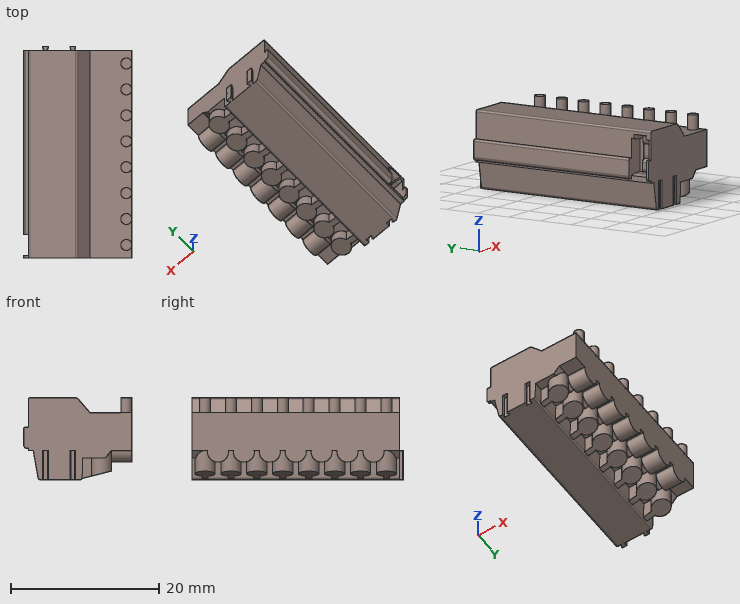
import cadquery as cq

DEPTH = 14.6
BODY_LENGTH = 28.05
TOTAL_LENGTH = 28.58
HEIGHT = 11.1

FACE_X = 0.63
RAIL_TOP = 7.12
RAIL_BOTTOM = 4.23
RAIL_TOP_RADIUS = 0.25
RAIL_BOTTOM_RADIUS = 0.45
SHOULDER_Z = 3.95
SHOULDER_X = 1.3
FOOT_FRONT_X = 1.97
FOOT_BACK_X = 7.9
FOOT_BACK_TOP_X = 7.97
BELLY_Z = 2.92
BELLY_END_X = 11.0
BELLY_SLOPE_END_X = 11.85
SHELF_Z = 9.05
ROOF_END_X = 7.2
SHELF_START_X = 8.97
EDGE_RADIUS = 0.25
FOOT_FRONT_RADIUS = 0.35
ROOF_RADIUS = 0.5

POLES = 8
POLE_SPAN = 24.5
PITCH = POLE_SPAN / (POLES - 1)
FIRST_POLE_Y = (BODY_LENGTH - POLE_SPAN) / 2
PIN_RADIUS = 0.75
PIN_X = DEPTH - PIN_RADIUS
POST_RADIUS = 1.37
POST_X = BELLY_SLOPE_END_X - POST_RADIUS
POST_NECK_WIDTH = 0.85
POST_LOW_Z = 0.17
POST_HIGH_Z = 1.17
RIB_RADIUS = 1.43
RIB_BOTTOM = 2.37

KEY_XS = (2.95, 6.63)
KEY_HALF_WIDTH = 0.4
KEY_ROOT_HALF_WIDTH = 0.23
KEY_LIP = 0.15
KEY_CLEARANCE = 0.03
KEYWAY_HALF_WIDTH = KEY_HALF_WIDTH + KEY_CLEARANCE
KEYWAY_THROAT_HALF_WIDTH = KEY_ROOT_HALF_WIDTH + KEY_CLEARANCE
KEYWAY_CHAMFER = 0.15
KEY_DEPTH = TOTAL_LENGTH - BODY_LENGTH

WINDOW_Y = (0.37, 3.17)
WINDOW_MID_Y = sum(WINDOW_Y) / 2
WINDOW_FLOOR_X = 2.77
LINTEL_Z = 9.83
SILL_Z = RAIL_BOTTOM + RAIL_BOTTOM_RADIUS
SILL_STEP_X = 1.43
SILL_RISE = 0.2
LEAD_IN = 0.2
LEAD_IN_DEPTH = 0.71
NOTCH_WIDTH = 1.95
NOTCH_TOP = 10.4
PANEL_WIDTH = 1.71
PANEL_Z = (6.37, 9.03)
PANEL_BEND_Z = 7.1
PANEL_DEPTH = 0.15
PANEL_LEAN = 0.11
LUG_HEIGHT = 0.35
LUG_RADIUS = 0.4
UPPER_LUG_WIDTH = 1.37
UPPER_LUG_Z = (8.77, 10.03)
LOWER_LUG_WIDTH = 1.55
LOWER_LUG_Z = (4.9, 6.75)
LOWER_LUG_TOP_RADIUS = 0.5

OVERLAP = 0.3


def box(x_range, y_range, z_range):
    """Box between two limits on each axis."""
    sizes = [high - low for low, high in (x_range, y_range, z_range)]
    corner = (x_range[0], y_range[0], z_range[0])
    return cq.Workplane("XY").box(*sizes, centered=False).translate(corner)


def profile_along_y(points, y_start, y_end):
    """Extrude an X-Z outline from y_start to y_end."""
    plane = cq.Workplane("XZ", origin=(0, y_start, 0))
    return plane.polyline(points).close().extrude(y_start - y_end)


def edge_at(x, z):
    """Selector box around the lengthwise edge at (x, z)."""
    reach = 0.05
    return cq.selectors.BoxSelector(
        (x - reach, -OVERLAP, z - reach),
        (x + reach, TOTAL_LENGTH, z + reach),
    )


def make_housing():
    outline = [
        (FACE_X, HEIGHT),
        (ROOF_END_X, HEIGHT),
        (SHELF_START_X, SHELF_Z),
        (DEPTH, SHELF_Z),
        (DEPTH, SHOULDER_Z),
        (BELLY_SLOPE_END_X, SHOULDER_Z),
        (BELLY_END_X, BELLY_Z),
        (FOOT_BACK_TOP_X, BELLY_Z),
        (FOOT_BACK_X, 0),
        (FOOT_FRONT_X, 0),
        (SHOULDER_X, SHOULDER_Z),
        (FACE_X, SHOULDER_Z),
        (FACE_X, RAIL_BOTTOM),
        (0, RAIL_BOTTOM),
        (0, RAIL_TOP),
        (FACE_X, RAIL_TOP),
    ]
    rounded_edges = [
        (FACE_X, HEIGHT, EDGE_RADIUS),
        (ROOF_END_X, HEIGHT, ROOF_RADIUS),
        (FOOT_BACK_X, 0, EDGE_RADIUS),
        (FOOT_FRONT_X, 0, FOOT_FRONT_RADIUS),
        (0, RAIL_BOTTOM, RAIL_BOTTOM_RADIUS),
        (0, RAIL_TOP, RAIL_TOP_RADIUS),
    ]
    housing = profile_along_y(outline, 0, BODY_LENGTH)
    for x, z, radius in rounded_edges:
        housing = housing.edges(edge_at(x, z)).fillet(radius)
    return housing


def window_cutter():
    """Opening in the front face with a stepped sill and a lead-in under the lintel."""
    points = [
        (FACE_X, SILL_Z),
        (SILL_STEP_X, SILL_Z + SILL_RISE),
        (WINDOW_FLOOR_X, SILL_Z + SILL_RISE),
        (WINDOW_FLOOR_X, LINTEL_Z - LEAD_IN),
        (FACE_X + LEAD_IN_DEPTH, LINTEL_Z - LEAD_IN),
        (FACE_X, LINTEL_Z),
    ]
    return profile_along_y(points, *WINDOW_Y)


def notch_section(x, narrowing):
    """Notch outline at depth x, drawn in by the narrowing on its sides and roof."""
    half = NOTCH_WIDTH / 2 - narrowing
    base = LINTEL_Z - 2 * LEAD_IN
    top = NOTCH_TOP - narrowing
    return cq.Workplane("YZ", origin=(x, 0, 0)).polyline([
        (WINDOW_MID_Y - half, base),
        (WINDOW_MID_Y + half, base),
        (WINDOW_MID_Y + half, top),
        (WINDOW_MID_Y - half, top),
    ]).close()


def notch_cutter():
    """Notch in the lintel: a sloped lead-in, then straight to the window floor."""
    throat_x = FACE_X + LEAD_IN_DEPTH
    mouth = notch_section(FACE_X, 0)
    throat = notch_section(throat_x, LEAD_IN)
    lead_in = cq.Solid.makeLoft([mouth.val(), throat.val()], True)
    return throat.extrude(WINDOW_FLOOR_X - throat_x).union(cq.Workplane(lead_in))


def panel_cutter():
    """Shallow recess in the window floor, leaning inwards at its lower end."""
    half = PANEL_WIDTH / 2
    panel_x = WINDOW_FLOOR_X + PANEL_DEPTH
    points = [
        (WINDOW_FLOOR_X, PANEL_Z[0]),
        (panel_x + PANEL_LEAN, PANEL_Z[0]),
        (panel_x, PANEL_BEND_Z),
        (panel_x, PANEL_Z[1]),
        (WINDOW_FLOOR_X, PANEL_Z[1]),
    ]
    return profile_along_y(points, WINDOW_MID_Y - half, WINDOW_MID_Y + half)


def make_lug(width, z_range):
    """Block standing out of the window floor with a rounded lower edge."""
    half = width / 2
    x_range = (WINDOW_FLOOR_X - LUG_HEIGHT, WINDOW_FLOOR_X + PANEL_DEPTH + OVERLAP)
    lug = box(x_range, (WINDOW_MID_Y - half, WINDOW_MID_Y + half), z_range)
    return lug.edges(edge_at(x_range[0], z_range[0])).fillet(LUG_RADIUS)


def add_latch_window(housing):
    rail_gap = box((0, FACE_X), WINDOW_Y, (RAIL_BOTTOM, RAIL_TOP))
    upper_lug = make_lug(UPPER_LUG_WIDTH, UPPER_LUG_Z)
    lower_lug = make_lug(LOWER_LUG_WIDTH, LOWER_LUG_Z)
    lower_lug_top = edge_at(WINDOW_FLOOR_X - LUG_HEIGHT, LOWER_LUG_Z[1])
    lower_lug = lower_lug.edges(lower_lug_top).fillet(LOWER_LUG_TOP_RADIUS)
    for cutter in (rail_gap, window_cutter(), notch_cutter(), panel_cutter()):
        housing = housing.cut(cutter)
    return housing.union(upper_lug).union(lower_lug)


def make_pin(y):
    pin = cq.Workplane("XY", origin=(PIN_X, y, SHELF_Z - OVERLAP))
    return pin.circle(PIN_RADIUS).extrude(HEIGHT - SHELF_Z + OVERLAP)


def make_post(y):
    """Round post under the belly, tied to the foot by a neck, cut off on a slope."""
    half = POST_NECK_WIDTH / 2
    post = cq.Workplane("XY", origin=(POST_X, y, 0)).circle(POST_RADIUS).extrude(SHOULDER_Z)
    neck = box((FOOT_BACK_X - OVERLAP, POST_X), (y - half, y + half), (0, BELLY_Z + OVERLAP))
    slope = (POST_HIGH_Z - POST_LOW_Z) / (BELLY_SLOPE_END_X - FOOT_BACK_X)
    envelope = profile_along_y([
        (FOOT_BACK_X - OVERLAP, POST_LOW_Z - slope * OVERLAP),
        (BELLY_SLOPE_END_X, POST_HIGH_Z),
        (BELLY_SLOPE_END_X, SHOULDER_Z),
        (FOOT_BACK_X - OVERLAP, SHOULDER_Z),
    ], y - POST_RADIUS, y + POST_RADIUS)
    return post.union(neck).intersect(envelope)


def make_rib(y):
    """Half-round rib along X under the shoulder, between two posts."""
    axis_z = RIB_BOTTOM + RIB_RADIUS
    plane = cq.Workplane("YZ", origin=(BELLY_SLOPE_END_X, y, 0))
    outline = (
        plane.moveTo(-RIB_RADIUS, SHOULDER_Z + OVERLAP)
        .lineTo(-RIB_RADIUS, axis_z)
        .threePointArc((0, RIB_BOTTOM), (RIB_RADIUS, axis_z))
        .lineTo(RIB_RADIUS, SHOULDER_Z + OVERLAP)
        .close()
    )
    return outline.extrude(DEPTH - BELLY_SLOPE_END_X)


def upright_prism(half_outline, x):
    """Mirror (half width, y) points about x and extrude over the foot height."""
    right = [(x + half, y) for half, y in half_outline]
    left = [(x - half, y) for half, y in reversed(half_outline)]
    return cq.Workplane("XY").polyline(right + left).close().extrude(SHOULDER_Z)


def make_key(x):
    return upright_prism([
        (KEY_ROOT_HALF_WIDTH, BODY_LENGTH - OVERLAP),
        (KEY_ROOT_HALF_WIDTH, BODY_LENGTH),
        (KEY_HALF_WIDTH, TOTAL_LENGTH - KEY_LIP),
        (KEY_HALF_WIDTH, TOTAL_LENGTH),
    ], x)


def make_keyway(x):
    return upright_prism([
        (KEYWAY_THROAT_HALF_WIDTH + KEYWAY_CHAMFER, 0),
        (KEYWAY_THROAT_HALF_WIDTH, KEYWAY_CHAMFER),
        (KEYWAY_HALF_WIDTH, KEY_DEPTH - KEY_LIP),
        (KEYWAY_HALF_WIDTH, KEY_DEPTH),
    ], x)


part = add_latch_window(make_housing())

for index in range(POLES):
    pole_y = FIRST_POLE_Y + index * PITCH
    part = part.union(make_pin(pole_y)).union(make_post(pole_y))

for index in range(POLES - 1):
    part = part.union(make_rib(FIRST_POLE_Y + (index + 0.5) * PITCH))

for key_x in KEY_XS:
    part = part.union(make_key(key_x)).cut(make_keyway(key_x))

result = part